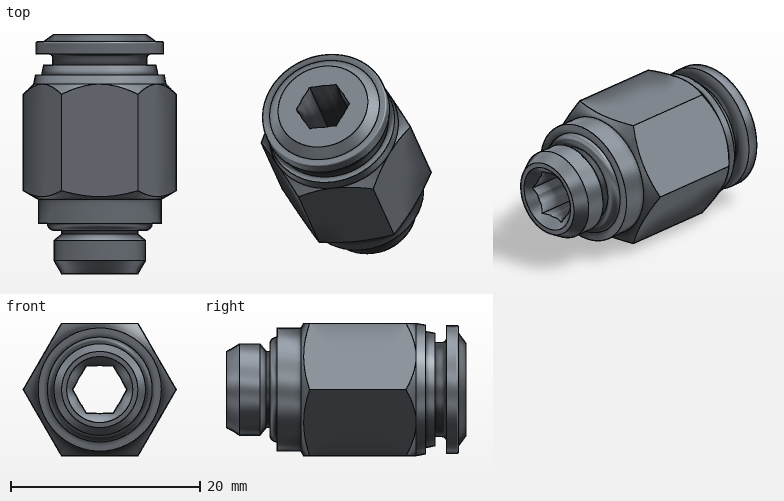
import cadquery as cq
import math

LENGTH = 25.3

thread_radius = 4.83
thread_neck_radius = 4.02
tip_chamfer_end = 1.4
thread_end = 3.52
thread_neck_start = 4.2

collar_radius = 6.5
collar_start = 5.35
collar_end = 7.87
ring_radius = 0.75
ring_center_radius = thread_neck_radius + ring_radius

hex_flats = 14.0
hex_corner_radius = hex_flats / math.sqrt(3)
hex_front_corner = 8.78
hex_back_corner = 18.95
hex_back_end = hex_back_corner + hex_corner_radius - hex_flats / 2

large_step_end = 21.02
large_step_radius = 6.8
small_step_end = 22.04
small_step_base_radius = 6.15
small_step_radius = 5.95

button_neck_radius = 4.98
button_start = 23.23
neck_fillet = 0.43
button_radius = 6.75
button_shoulder = 24.52
button_rounding = 0.2
button_cone_radius = 5.95
button_end_radius = 4.85

socket_flats = 4.95
bore_diameter = 5.05
countersink_radius = 3.5
countersink_depth = countersink_radius - socket_flats / 2


def revolve(profile):
    return profile.close().revolve(360, (0, 0, 0), (0, 1, 0))


def hex_prism(flats):
    """Hexagonal prism over the full length with two corners on the X axis."""
    corner_diameter = 2 * flats / math.sqrt(3)
    return cq.Workplane("XZ").polygon(6, corner_diameter).extrude(-LENGTH)


def turned_envelope():
    """Outer turned profile, limiting the hexagon and forming both ends."""
    profile = (
        cq.Workplane("XY")
        .moveTo(0, 0)
        .lineTo(thread_neck_radius, 0)
        .lineTo(thread_radius, tip_chamfer_end)
        .lineTo(thread_radius, thread_end)
        .lineTo(thread_neck_radius, thread_neck_start)
        .lineTo(thread_neck_radius, collar_start)
        .threePointArc(
            (ring_center_radius, collar_start - ring_radius),
            (ring_center_radius + ring_radius, collar_start),
        )
        .lineTo(collar_radius, collar_start)
        .lineTo(collar_radius, collar_end)
        .lineTo(hex_corner_radius, hex_front_corner)
        .lineTo(hex_corner_radius, hex_back_corner)
        .lineTo(hex_flats / 2, hex_back_end)
        .lineTo(large_step_radius, large_step_end)
        .lineTo(small_step_base_radius, large_step_end)
        .lineTo(small_step_radius, small_step_end)
        .lineTo(button_neck_radius, small_step_end)
        .lineTo(button_neck_radius, button_start - neck_fillet)
        .radiusArc((button_neck_radius + neck_fillet, button_start), neck_fillet)
        .lineTo(button_radius, button_start)
        .lineTo(button_radius, button_shoulder - button_rounding)
        .radiusArc((button_radius - button_rounding, button_shoulder), -button_rounding)
        .lineTo(button_cone_radius, button_shoulder)
        .lineTo(button_end_radius, LENGTH)
        .lineTo(0, LENGTH)
    )
    return revolve(profile)


def passage():
    """Hexagonal socket merged with a round bore and a front countersink."""
    bore = cq.Workplane("XZ").circle(bore_diameter / 2).extrude(-LENGTH)
    countersink = revolve(
        cq.Workplane("XY")
        .moveTo(0, 0)
        .lineTo(countersink_radius, 0)
        .lineTo(countersink_radius - countersink_depth, countersink_depth)
        .lineTo(0, countersink_depth)
    )
    return hex_prism(socket_flats).union(bore).union(countersink)


result = turned_envelope().intersect(hex_prism(hex_flats)).cut(passage())